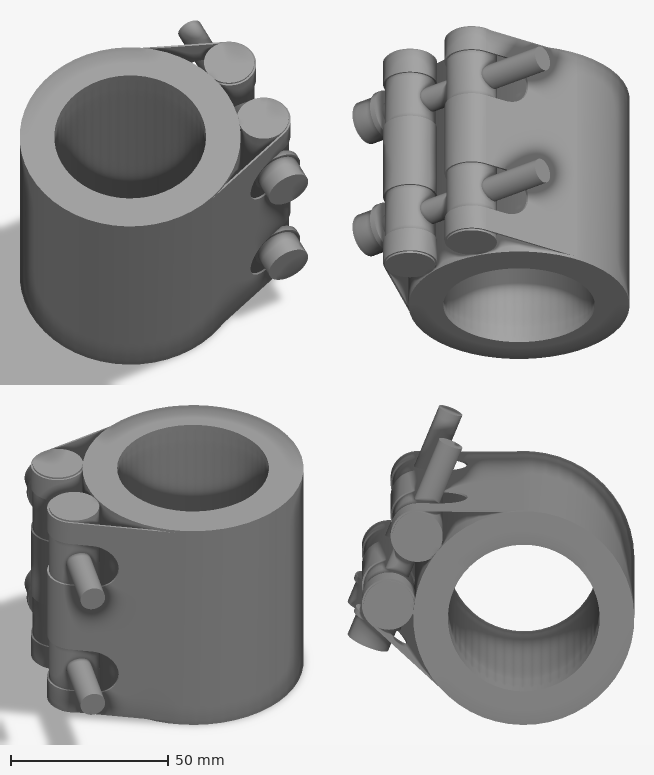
import cadquery as cq
import math

sleeve_diameter = 70.3
bore_diameter = 48.3
sleeve_height = 75.0

pin_diameter = 16.0
pin_height = 74.3
pin_x = 12.3
pin_embed = 0.04

strap_thickness = 0.6
strap_height = 73.15

bolt_spacing = 40.9
shank_diameter = 8.0
shank_end_x = -40.45
washer_diameter = 16.0
washer_thickness = 1.8
washer_gap = 0.2
head_diameter = 14.0
head_length = 7.75

slot_width = 16.0
slot_end_y = 29.8

sleeve_radius = sleeve_diameter / 2
pin_radius = pin_diameter / 2
wrap_radius = pin_radius + strap_thickness
pin_distance = sleeve_radius + pin_radius - pin_embed
pin_y = math.sqrt(pin_distance**2 - pin_x**2)
bolt_heights = (-bolt_spacing / 2, bolt_spacing / 2)


def upright_cylinder(x, y, diameter, height):
    """Cylinder along Z, centred on the plane Z = 0."""
    base = cq.Workplane("XY", origin=(x, y, -height / 2))
    return base.circle(diameter / 2).extrude(height)


def make_sleeve():
    return upright_cylinder(0, 0, sleeve_diameter, sleeve_height)


def make_bore():
    return upright_cylinder(0, 0, bore_diameter, sleeve_height)


def make_pin(x):
    return upright_cylinder(x, pin_y, pin_diameter, pin_height)


def polar_point(center, radius, angle):
    return (center[0] + radius * math.cos(angle), center[1] + radius * math.sin(angle))


def make_left_strap():
    """Flat run tangent to sleeve and pin, then a wrap ending below the pin."""
    sleeve_center = (0, 0)
    pin_center = (-pin_x, pin_y)
    pin_direction = math.atan2(pin_y, -pin_x)
    tangent_angle = pin_direction + math.acos((sleeve_radius - wrap_radius) / pin_distance)
    end_angle = -math.pi / 2
    middle_angle = (tangent_angle + end_angle) / 2
    return (
        cq.Workplane("XY", origin=(0, 0, -strap_height / 2))
        .moveTo(*polar_point(sleeve_center, sleeve_radius, tangent_angle))
        .lineTo(*polar_point(pin_center, wrap_radius, tangent_angle))
        .threePointArc(
            polar_point(pin_center, wrap_radius, middle_angle),
            polar_point(pin_center, wrap_radius, end_angle),
        )
        .lineTo(*polar_point(pin_center, pin_radius, end_angle))
        .threePointArc(
            polar_point(pin_center, pin_radius, middle_angle),
            polar_point(pin_center, pin_radius, tangent_angle),
        )
        .lineTo(*polar_point(sleeve_center, sleeve_radius - strap_thickness, tangent_angle))
        .close()
        .extrude(strap_height)
    )


def make_slot(z):
    """Slot cutter through both straps along X, open beyond the wraps in +Y."""
    arc_center_y = slot_end_y + slot_width / 2
    open_end_y = pin_y + 2 * wrap_radius
    return (
        cq.Workplane("YZ")
        .moveTo(open_end_y, z - slot_width / 2)
        .lineTo(arc_center_y, z - slot_width / 2)
        .threePointArc((slot_end_y, z), (arc_center_y, z + slot_width / 2))
        .lineTo(open_end_y, z + slot_width / 2)
        .close()
        .extrude(sleeve_diameter / 2, both=True)
    )


def bolt_section(start_x, z, diameter, length):
    plane = cq.Workplane("YZ", origin=(start_x, pin_y, z))
    return plane.circle(diameter / 2).extrude(length)


def make_bolt(z):
    washer_x = pin_x + pin_radius + washer_gap
    head_x = washer_x + washer_thickness
    shank = bolt_section(shank_end_x, z, shank_diameter, head_x - shank_end_x)
    washer = bolt_section(washer_x, z, washer_diameter, washer_thickness)
    head = bolt_section(head_x, z, head_diameter, head_length)
    return shank.union(washer).union(head)


left_strap = make_left_strap()
straps = left_strap.union(left_strap.mirror("YZ"))
for bolt_z in bolt_heights:
    straps = straps.cut(make_slot(bolt_z))

result = make_sleeve().union(straps)
for side in (-1, 1):
    result = result.union(make_pin(side * pin_x))
for bolt_z in bolt_heights:
    result = result.union(make_bolt(bolt_z))
result = result.cut(make_bore())